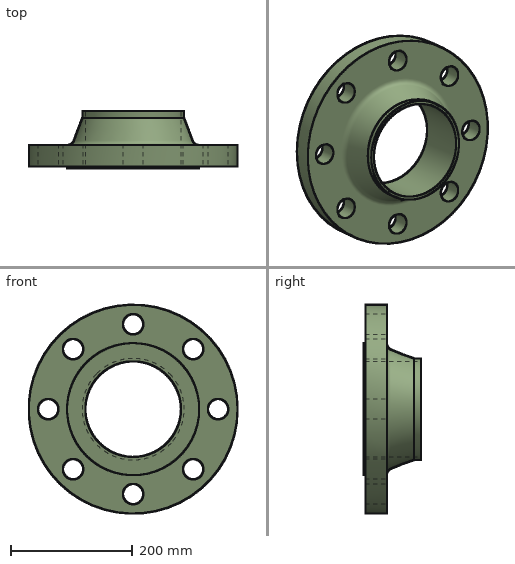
import cadquery as cq

flange_diameter = 345.0
overall_length = 95.0
flange_thickness = 36.0
bore_diameter = 157.3

raised_face_diameter = 218.0
raised_face_height = 3.0

neck_base_diameter = 201.8
neck_end_diameter = 168.0
neck_end_length = 11.5
neck_fillet_radius = 10.0

bolt_hole_count = 8
bolt_circle_diameter = 280.0
bolt_hole_diameter = 33.0

flange_back = raised_face_height + flange_thickness
taper_end = overall_length - neck_end_length


def flange_body():
    """Revolved plate, raised face and neck, before the holes are cut."""
    profile = (
        cq.Workplane("XY")
        .lineTo(raised_face_diameter / 2, 0)
        .lineTo(raised_face_diameter / 2, raised_face_height)
        .lineTo(flange_diameter / 2, raised_face_height)
        .lineTo(flange_diameter / 2, flange_back)
        .lineTo(neck_base_diameter / 2, flange_back)
        .lineTo(neck_end_diameter / 2, taper_end)
        .lineTo(neck_end_diameter / 2, overall_length)
        .lineTo(0, overall_length)
        .close()
    )
    body = profile.revolve(360, (0, 0, 0), (0, 1, 0))
    circles = body.edges("%CIRCLE")
    return circles.edges(cq.selectors.RadiusNthSelector(1)).fillet(neck_fillet_radius)


def bolt_holes():
    """Evenly spaced cutters, with one hole on the +X axis."""
    return (
        cq.Workplane("XZ")
        .polarArray(bolt_circle_diameter / 2, 0, 360, bolt_hole_count)
        .circle(bolt_hole_diameter / 2)
        .extrude(-flange_back)
    )


bore = cq.Workplane("XZ").circle(bore_diameter / 2).extrude(-overall_length)
result = flange_body().cut(bore).cut(bolt_holes())